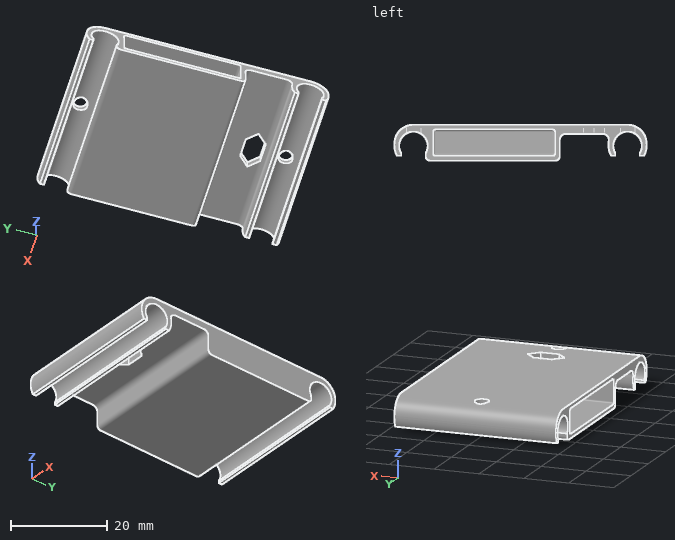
import cadquery as cq

LENGTH_X = 36.0
WIDTH_Y = 52.5
HEIGHT = 7.5
PLATE_THICKNESS = 1.95

CLIP_RADIUS = 4.0
BORE_RADIUS = 2.95
BORE_DEPTH = 4.4
MOUTH_WIDTH = 5.05
WALL = 1.0
CLIP_Y = WIDTH_Y / 2 - CLIP_RADIUS
LIP_Z = WALL - HEIGHT

BOX_REAR_Y = CLIP_Y - MOUTH_WIDTH / 2
BOX_FRONT_Y = -8.2
BOX_EDGE_RADIUS = 0.95
INNER_FILLET = 1.2

POCKET_REAR_Y = 18.15
POCKET_FRONT_Y = BOX_FRONT_Y + WALL
POCKET_EDGE_RADIUS = 0.5

HOLE_DIAMETER = 3.0
HEX_X = 0.15
HEX_Y = -15.2
HEX_LENGTH = 8.15
HEX_FLAT = 4.1
HEX_WIDTH = 4.3

X_MIN = -LENGTH_X / 2
X_MAX = LENGTH_X / 2


def block(x_range, y_range, z_range):
    """Box spanning the given coordinate ranges."""
    sizes = [high - low for low, high in (x_range, y_range, z_range)]
    corner = (x_range[0], y_range[0], z_range[0])
    return cq.Workplane("XY").box(*sizes, centered=False).translate(corner)


def bar(radius, y, z):
    """Full-length round bar parallel to X."""
    return cq.Workplane("YZ", origin=(X_MIN, 0, 0)).center(y, z).circle(radius).extrude(LENGTH_X)


def clip_body(y):
    """Clip outside: two stacked rounds joined by short flat sides, trimmed at the lips."""
    flat_sides = block((X_MIN, X_MAX), (y - CLIP_RADIUS, y + CLIP_RADIUS), (-BORE_DEPTH, -CLIP_RADIUS))
    body = bar(CLIP_RADIUS, y, -CLIP_RADIUS).union(flat_sides).union(bar(CLIP_RADIUS, y, -BORE_DEPTH))
    return body.intersect(block((X_MIN, X_MAX), (y - CLIP_RADIUS, y + CLIP_RADIUS), (LIP_Z, 0)))


def clip_opening(y):
    """Round bore with a narrower mouth open downwards."""
    half_mouth = MOUTH_WIDTH / 2
    mouth = block((X_MIN, X_MAX), (y - half_mouth, y + half_mouth), (-HEIGHT, -BORE_DEPTH))
    return bar(BORE_RADIUS, y, -BORE_DEPTH).union(mouth)


def pocket():
    """Blind pocket with rounded long edges and a rounded back."""
    back_x = X_MAX - WALL
    cavity = block((X_MIN, back_x), (POCKET_FRONT_Y, POCKET_REAR_Y), (LIP_Z, -WALL))
    return cavity.edges("not <X").fillet(POCKET_EDGE_RADIUS)


def hexagonal_opening():
    """Elongated six-sided opening through the plate."""
    half_length = HEX_LENGTH / 2
    half_flat = HEX_FLAT / 2
    half_width = HEX_WIDTH / 2
    outline = [
        (-half_length, 0),
        (-half_flat, half_width),
        (half_flat, half_width),
        (half_length, 0),
        (half_flat, -half_width),
        (-half_flat, -half_width),
    ]
    return cq.Workplane("XY").center(HEX_X, HEX_Y).polyline(outline).close().extrude(-HEIGHT)


result = block((X_MIN, X_MAX), (-CLIP_Y, CLIP_Y), (-PLATE_THICKNESS, 0))
box = block((X_MIN, X_MAX), (BOX_FRONT_Y, BOX_REAR_Y), (-HEIGHT, 0))
result = result.union(box.edges("|X and <Z").fillet(BOX_EDGE_RADIUS))
for clip_y in (-CLIP_Y, CLIP_Y):
    result = result.union(clip_body(clip_y))

corner_region = cq.selectors.BoxSelector(
    (X_MIN, -CLIP_Y, -PLATE_THICKNESS - WALL / 2),
    (X_MAX, BOX_FRONT_Y + WALL / 2, -PLATE_THICKNESS + WALL / 2),
)
result = result.edges("|X").edges(corner_region).fillet(INNER_FILLET)

for clip_y in (-CLIP_Y, CLIP_Y):
    result = result.cut(clip_opening(clip_y))
    screw_hole = cq.Workplane("XY").center(0, clip_y).circle(HOLE_DIAMETER / 2).extrude(-BORE_DEPTH)
    result = result.cut(screw_hole)
result = result.cut(pocket())
result = result.cut(hexagonal_opening())